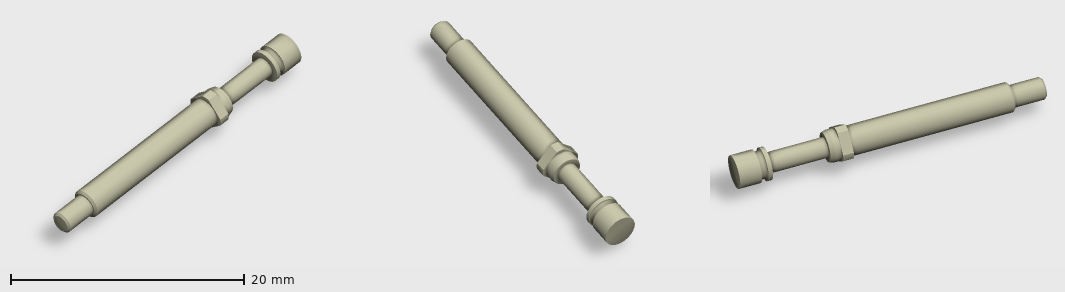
import cadquery as cq
total_length = 28.3

head_diameter = 3.0
head_length = 3.0
head_drum_length = 2.0

groove_width = 0.6
groove_depth = 0.25
groove_corner_radius = 0.2

neck_diameter = 1.85

collar_diameter = 2.91
collar_length = 1.0
collar_cone_length = 0.42
collar_cone_end_diameter = 2.7

flange_corner_diameter = 3.6
flange_across_flats = 3.0
flange_length = 1.0

body_diameter = 2.7
body_length = 15.0

tip_diameter = 2.0
tip_length = 3.0
end_chamfer = 0.2

tip_end = -total_length / 2
body_start = tip_end + tip_length
flange_start = body_start + body_length
collar_start = flange_start + flange_length
neck_start = collar_start + collar_length
head_end = total_length / 2
head_start = head_end - head_length
groove_end = head_end - head_drum_length
groove_start = groove_end - groove_width


def cross_plane(station):
    """Workplane across the axis at the given Y, facing +Y."""
    return cq.Workplane(cq.Plane(origin=(0, station, 0), xDir=(1, 0, 0), normal=(0, 1, 0)))


def rod(start, end, diameter):
    """Round stretch between two Y stations."""
    return cross_plane(start).circle(diameter / 2).extrude(end - start)


def make_groove():
    """Ring to cut from the head: straight walls running into rounded bottom corners."""
    rim_radius = head_diameter / 2
    floor_radius = rim_radius - groove_depth
    wall_radius = floor_radius + groove_corner_radius
    profile = (
        cq.Workplane("XY")
        .moveTo(rim_radius, groove_start)
        .lineTo(wall_radius, groove_start)
        .tangentArcPoint((floor_radius, groove_start + groove_corner_radius), relative=False)
        .lineTo(floor_radius, groove_end - groove_corner_radius)
        .tangentArcPoint((wall_radius, groove_end), relative=False)
        .lineTo(rim_radius, groove_end)
        .close()
    )
    return profile.revolve(360, (0, 0, 0), (0, 1, 0))


def make_collar():
    """Round collar that tapers toward the neck."""
    cone_start = neck_start - collar_cone_length
    cone = (
        cross_plane(cone_start)
        .circle(collar_diameter / 2)
        .workplane(offset=collar_cone_length)
        .circle(collar_cone_end_diameter / 2)
        .loft(ruled=True)
    )
    return rod(collar_start, cone_start, collar_diameter).union(cone)


def make_flange():
    """Square wrench flange, corners on X and Z, trimmed round by a coaxial cylinder."""
    square = (
        cross_plane(flange_start)
        .transformed(rotate=(0, 0, 45))
        .rect(flange_across_flats, flange_across_flats)
        .extrude(flange_length)
    )
    return square.intersect(rod(flange_start, collar_start, flange_corner_diameter))


tip = rod(tip_end, body_start, tip_diameter).faces("<Y").chamfer(end_chamfer)
body = rod(body_start, flange_start, body_diameter).faces("<Y").chamfer(end_chamfer)
head = rod(head_start, head_end, head_diameter).cut(make_groove())
neck = rod(neck_start, head_start, neck_diameter)

result = tip.union(body).union(make_flange()).union(make_collar()).union(neck).union(head)